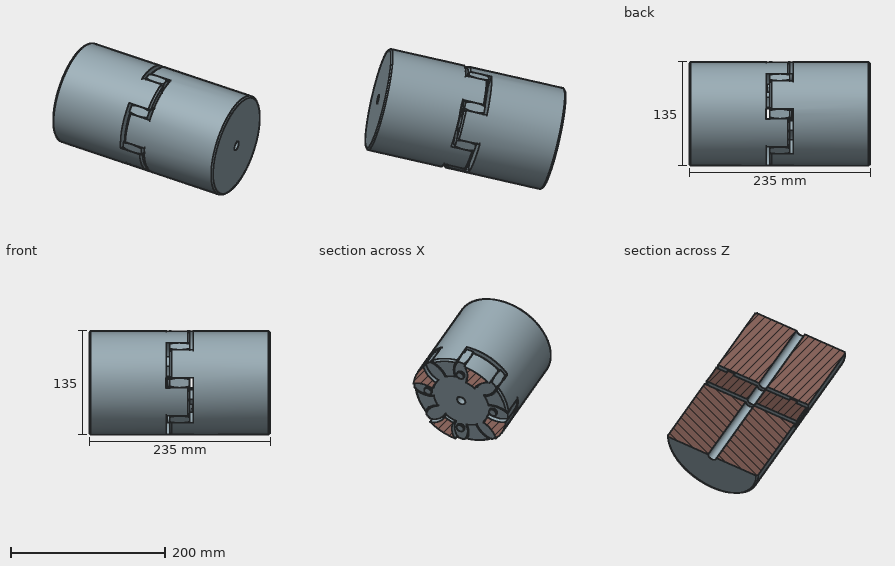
import cadquery as cq
import math


LENGTH = 235.0
OUTER_RADIUS = 67.5
BORE_DIAMETER = 12.0
END_CHAMFER = 2.0
TIP_CHAMFER = 2.5

FACE_GAP = 35.0
TIP_GAP = 4.5
SPIDER_WIDTH = FACE_GAP - 2 * TIP_GAP
JAW_LENGTH = FACE_GAP - TIP_GAP
HUB_LENGTH = (LENGTH - FACE_GAP) / 2
HUB_FACE_X = -FACE_GAP / 2
CORE_RADIUS = 40.2

JAWS_PER_HUB = 4
LEGS = 2 * JAWS_PER_HUB
LEG_PITCH = 360 / LEGS
JAW_PITCH = 360 / JAWS_PER_HUB

FLANK_RADIUS = 30.5
FLANK_DISTANCE = 51.0
FLANK_OFFSET = 19.5
LEG_CLEARANCE = 0.2
LEG_CROWN = 1.5

PAD_DIAMETER = 10.5
PAD_HEIGHT = 3.0
PAD_DISTANCE = 46.8


def cylinder(radius, x_start, length):
    return cq.Workplane("YZ").workplane(offset=x_start).circle(radius).extrude(length)


def around_axis(shape, angle):
    return shape.rotate((0, 0, 0), (1, 0, 0), angle)


def place_at_flank(shape, leg_angle, side):
    """Move a shape on the X axis to the arc centre of one flank (side is +1 or -1) of a leg."""
    moved = shape.translate((0, FLANK_DISTANCE, -side * FLANK_OFFSET))
    return around_axis(moved, leg_angle)


def make_jaw():
    """Plain block of one jaw, between the leg at angle 0 and the next leg."""
    reach = 2 * OUTER_RADIUS
    pitch = math.radians(LEG_PITCH)
    sector = (
        cq.Workplane("YZ")
        .workplane(offset=HUB_FACE_X)
        .polyline([(0, 0), (reach, 0), (reach * math.cos(pitch), reach * math.sin(pitch))])
        .close()
        .extrude(JAW_LENGTH)
    )
    hollow = cylinder(FLANK_RADIUS, HUB_FACE_X, JAW_LENGTH)
    jaw = sector.cut(cylinder(CORE_RADIUS, HUB_FACE_X, JAW_LENGTH))
    jaw = jaw.cut(place_at_flank(hollow, 0, 1))
    return jaw.cut(place_at_flank(hollow, LEG_PITCH, -1))


def make_hub():
    """The hub on the -X side: a chamfered bar with everything but the jaws cut away beyond its face."""
    waste = cylinder(2 * OUTER_RADIUS, HUB_FACE_X, JAW_LENGTH)
    jaw = make_jaw()
    for index in range(JAWS_PER_HUB):
        waste = waste.cut(around_axis(jaw, index * JAW_PITCH))

    bar_length = HUB_LENGTH + JAW_LENGTH
    bar = cylinder(OUTER_RADIUS, -LENGTH / 2, bar_length)
    bar = bar.faces("<X").edges().chamfer(END_CHAMFER)
    bar = bar.faces(">X").edges().chamfer(TIP_CHAMFER)
    return bar.cut(cylinder(BORE_DIAMETER / 2, -LENGTH / 2, bar_length)).cut(waste)


def make_leg():
    """The spider leg along +Y, bounded by a crowned flank on each side."""
    half_width = SPIDER_WIDTH / 2
    crest_radius = FLANK_RADIUS - LEG_CLEARANCE
    end_radius = crest_radius - LEG_CROWN
    barrel = (
        cq.Workplane("XY")
        .moveTo(-half_width, 0)
        .lineTo(-half_width, end_radius)
        .threePointArc((0, crest_radius), (half_width, end_radius))
        .lineTo(half_width, 0)
        .close()
        .revolve(360, (0, 0, 0), (1, 0, 0))
    )
    leg = place_at_flank(barrel, 0, 1).intersect(place_at_flank(barrel, 0, -1))
    return leg.intersect(cylinder(OUTER_RADIUS, -half_width, SPIDER_WIDTH))


def make_pad(side):
    """A pad for the leg along +Y, on the spider face towards -X (side -1) or +X (side +1)."""
    pad = cylinder(PAD_DIAMETER / 2, side * SPIDER_WIDTH / 2, side * PAD_HEIGHT)
    return pad.translate((0, PAD_DISTANCE, 0))


def make_spider():
    """Core disc with a ring of legs, whose pads alternate between the two faces."""
    spider = cylinder(CORE_RADIUS, -SPIDER_WIDTH / 2, SPIDER_WIDTH)
    leg = make_leg()
    for index in range(LEGS):
        pad_side = -1 if index % 2 == 0 else 1
        leg_with_pad = leg.union(make_pad(pad_side))
        spider = spider.union(around_axis(leg_with_pad, index * LEG_PITCH))
    return spider.cut(cylinder(BORE_DIAMETER / 2, -SPIDER_WIDTH / 2, SPIDER_WIDTH))


left_hub = make_hub()
turn_axis = (0, math.cos(math.radians(LEG_PITCH)), math.sin(math.radians(LEG_PITCH)))
right_hub = left_hub.rotate((0, 0, 0), turn_axis, 180)
spider = make_spider()

result = cq.Compound.makeCompound([left_hub.val(), right_hub.val(), spider.val()])